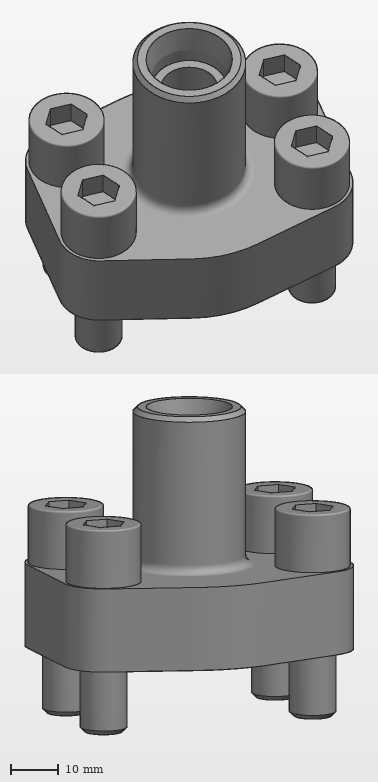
import cadquery as cq
import math

flange_thickness = 18.0
flange_length = 65.0
flange_width = 52.0
bolt_spacing_x = 22.2
bolt_spacing_y = 47.6
side_radius = flange_width / 2
corner_radius = (flange_length - bolt_spacing_y) / 2

tube_diameter = 24.0
tube_height = 34.0
tube_top_chamfer = 1.0
tube_base_fillet = 2.0
bore_diameter = 12.0
seat_diameter = 16.0
seat_depth = 8.5
cone_half_angle = 12.0
cone_mouth_diameter = 18.3

shank_diameter = 10.0
shank_projection = 14.5
shank_end_chamfer = 1.0
head_diameter = 16.0
head_height = 12.5
head_edge_fillet = 0.4
socket_across_flats = 8.0
socket_sides = 6
socket_turn = 90.0
socket_depth = 5.0

overlap = 1.0

tube_top = flange_thickness + tube_height


def polar_point(center, radius, angle):
    """Point on a circle at an angle in radians from +X."""
    return (
        center[0] + radius * math.cos(angle),
        center[1] + radius * math.sin(angle),
    )


def mirror_x(point):
    return (-point[0], point[1])


def mirror_y(point):
    return (point[0], -point[1])


def mirror_xy(point):
    return (-point[0], -point[1])


def make_flange():
    """Plate with a central round waist joined by tangent sides to rounded bolt corners."""
    origin = (0.0, 0.0)
    bolt = (bolt_spacing_x / 2, bolt_spacing_y / 2)

    bolt_distance = math.hypot(*bolt)
    bolt_angle = math.atan2(bolt[1], bolt[0])
    tangent_angle = bolt_angle - math.acos((side_radius - corner_radius) / bolt_distance)

    side_mid = (side_radius, 0.0)
    side_end = polar_point(origin, side_radius, tangent_angle)
    corner_start = polar_point(bolt, corner_radius, tangent_angle)
    corner_mid = polar_point(bolt, corner_radius, (tangent_angle + math.pi / 2) / 2)
    corner_end = (bolt[0], flange_length / 2)

    outline = (
        cq.Workplane("XY")
        .moveTo(*mirror_y(side_end))
        .threePointArc(side_mid, side_end)
        .lineTo(*corner_start)
        .threePointArc(corner_mid, corner_end)
        .lineTo(*mirror_x(corner_end))
        .threePointArc(mirror_x(corner_mid), mirror_x(corner_start))
        .lineTo(*mirror_x(side_end))
        .threePointArc(mirror_x(side_mid), mirror_xy(side_end))
        .lineTo(*mirror_xy(corner_start))
        .threePointArc(mirror_xy(corner_mid), mirror_xy(corner_end))
        .lineTo(*mirror_y(corner_end))
        .threePointArc(mirror_y(corner_mid), mirror_y(corner_start))
        .close()
    )
    return outline.extrude(flange_thickness)


def add_tube(flange):
    """Upright tube with a chamfered rim and a fillet where it meets the plate."""
    tube = (
        cq.Workplane("XY")
        .workplane(offset=flange_thickness - overlap)
        .circle(tube_diameter / 2)
        .extrude(tube_height + overlap)
        .faces(">Z")
        .edges()
        .chamfer(tube_top_chamfer)
    )
    base_edge = cq.selectors.BoxSelector(
        (-tube_diameter / 2, -tube_diameter / 2, flange_thickness - overlap / 2),
        (tube_diameter / 2, tube_diameter / 2, flange_thickness + overlap / 2),
    )
    return flange.union(tube).edges("%CIRCLE").edges(base_edge).fillet(tube_base_fillet)


def make_bore():
    """Through bore, cylindrical tube seat and conical mouth, as one turned profile."""
    bore_radius = bore_diameter / 2
    seat_radius = seat_diameter / 2
    mouth_radius = cone_mouth_diameter / 2
    cone_depth = (mouth_radius - seat_radius) / math.tan(math.radians(cone_half_angle))
    profile = [
        (0, 0),
        (bore_radius, 0),
        (bore_radius, tube_top - seat_depth),
        (seat_radius, tube_top - seat_depth),
        (seat_radius, tube_top - cone_depth),
        (mouth_radius, tube_top),
        (0, tube_top),
    ]
    return cq.Workplane("XZ").polyline(profile).close().revolve(360, (0, 0), (0, 1))


def make_screw():
    """Hexagon socket screw standing on the plate and projecting below it."""
    shank = (
        cq.Workplane("XY")
        .workplane(offset=-shank_projection)
        .circle(shank_diameter / 2)
        .extrude(shank_projection + flange_thickness)
        .faces("<Z")
        .edges()
        .chamfer(shank_end_chamfer)
    )
    head = (
        cq.Workplane("XY")
        .workplane(offset=flange_thickness)
        .circle(head_diameter / 2)
        .extrude(head_height)
        .faces(">Z")
        .edges()
        .fillet(head_edge_fillet)
    )
    socket_across_corners = socket_across_flats / math.cos(math.pi / socket_sides)
    socket = (
        cq.Workplane("XY")
        .workplane(offset=flange_thickness + head_height - socket_depth)
        .transformed(rotate=(0, 0, socket_turn))
        .polygon(socket_sides, socket_across_corners)
        .extrude(socket_depth)
    )
    return shank.union(head).cut(socket)


def add_screws(body):
    screw = make_screw()
    for side_x in (-1, 1):
        for side_y in (-1, 1):
            position = (side_x * bolt_spacing_x / 2, side_y * bolt_spacing_y / 2, 0)
            body = body.union(screw.translate(position))
    return body


result = add_screws(add_tube(make_flange()).cut(make_bore()))